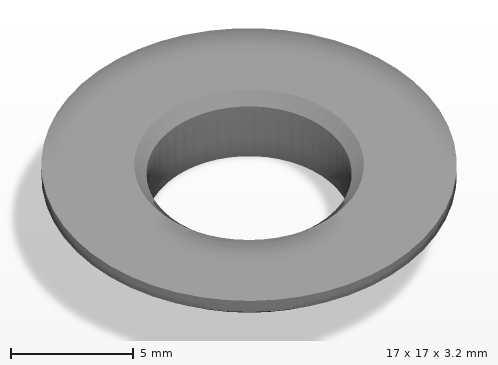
import cadquery as cq
import math

outer_diameter = 17.0
bore_diameter = 8.4
height = 3.2
rim_height = 0.6
seat_radius = 12.0
bore_chamfer = 0.5

outer_radius = outer_diameter / 2
bore_radius = bore_diameter / 2
rim_bottom_z = height - rim_height

seat_center_z = rim_bottom_z + math.sqrt(seat_radius**2 - outer_radius**2)


def seat_radius_at(z):
    """Radial distance from the axis to the spherical seat at height z."""
    return math.sqrt(seat_radius**2 - (seat_center_z - z) ** 2)


def make_washer():
    """Revolve the half section (radius, height) about the Z axis."""
    seat_mid_z = rim_bottom_z / 2
    section = (
        cq.Workplane("XZ")
        .moveTo(bore_radius, 0)
        .lineTo(seat_radius_at(0), 0)
        .threePointArc((seat_radius_at(seat_mid_z), seat_mid_z), (outer_radius, rim_bottom_z))
        .lineTo(outer_radius, height)
        .lineTo(bore_radius + bore_chamfer, height)
        .lineTo(bore_radius, height - bore_chamfer)
        .close()
    )
    return section.revolve(360, (0, 0, 0), (0, 1, 0))


result = make_washer()